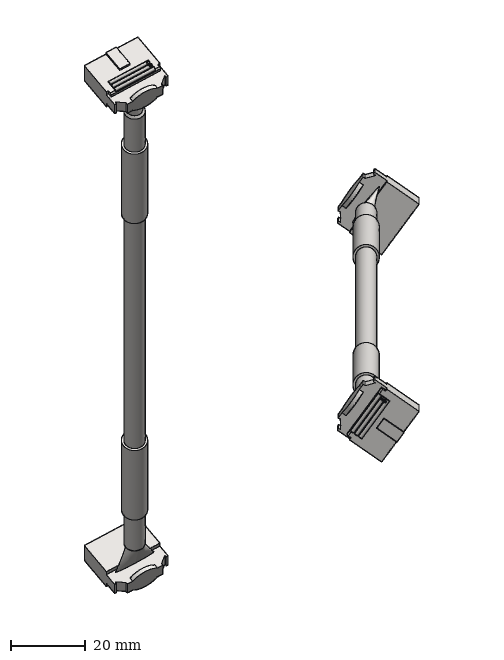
import cadquery as cq


CABLE_DIAMETER = 5.8
SLEEVE_DIAMETER = 7.0
TIP_CHAMFER = 0.7
SLEEVE_START = 50.3
SLEEVE_END = 81.0
TIP_END = 96.4

FAN_WIDTH = 12.5
FAN_THICKNESS = 0.9

OVERALL_LENGTH = 221.5
CONNECTOR_DEPTH = 16.5
HOUSING_FRONT = -11.3
HOUSING_DEPTH = 10.6
HOUSING_WIDTH = 17.3
HOUSING_HEIGHT = 6.6
HOUSING_CENTER_Z = 106.3
HOUSING_TOP = HOUSING_CENTER_Z + HOUSING_HEIGHT / 2
HOUSING_BOTTOM = HOUSING_CENTER_Z - HOUSING_HEIGHT / 2
HOUSING_BACK = HOUSING_FRONT + HOUSING_DEPTH
CONNECTOR_BACK = HOUSING_FRONT + CONNECTOR_DEPTH

KEY_LENGTH = 6.6
KEY_WIDTH = 3.3
KEY_HEIGHT = 0.7

SOCKET_COLUMNS = 5
SOCKET_ROWS = 2
SOCKET_ROW_SPAN = 10.2
SOCKET_PITCH = SOCKET_ROW_SPAN / (SOCKET_COLUMNS - 1)
SOCKET_SIZE = 1.5
SOCKET_DEPTH = 4.5

TAIL_HEIGHT = 4.0
TAIL_BOTTOM = HOUSING_CENTER_Z - TAIL_HEIGHT / 2
TAIL_TOP = HOUSING_CENTER_Z + TAIL_HEIGHT / 2
EAR_END = HOUSING_FRONT + 14.6
EAR_THICKNESS = 0.7
CAP_WIDTH = HOUSING_WIDTH - 2 * EAR_THICKNESS
CAP_TAPER_START = HOUSING_FRONT + 14.0
CAP_TAPER_END = HOUSING_FRONT + 15.7
CAP_END_WIDTH = 11.5
SHOULDER_LENGTH = 1.3
SHOULDER_CHAMFER = 0.5
DISC_THICKNESS = 1.3
DISC_WIDTH = 8.0

RIB_COUNT = 3
RIB_PITCH = 1.3
RIB_RADIUS = 0.55
RIB_LENGTH = 12.8
MARK_LENGTH = 1.8
MARK_WIDTH = 0.5
MARK_Y = 5.8


def block(x_start, x_end, width, z_start, z_end, y_center=0):
    """Box between two X and two Z levels, with a width centred at y_center."""
    return (
        cq.Workplane("XY", origin=((x_start + x_end) / 2, y_center, z_start))
        .rect(x_end - x_start, width)
        .extrude(z_end - z_start)
    )


def rod(diameter, z_start, z_end):
    """Cylinder on the cable axis."""
    return cq.Workplane("XY", origin=(0, 0, z_start)).circle(diameter / 2).extrude(z_end - z_start)


def cable():
    """Cable with chamfered ends, carrying one sleeve on each side of the middle."""
    body = rod(CABLE_DIAMETER, -TIP_END, TIP_END).faces("<Z or >Z").chamfer(TIP_CHAMFER)
    upper_sleeve = rod(SLEEVE_DIAMETER, SLEEVE_START, SLEEVE_END)
    lower_sleeve = rod(SLEEVE_DIAMETER, -SLEEVE_END, -SLEEVE_START)
    return body.union(upper_sleeve).union(lower_sleeve)


def fan():
    """Round at the cable, flattening to a thin oval where it enters the cap."""
    return (
        cq.Workplane("XY", origin=(0, 0, TIP_END))
        .circle(CABLE_DIAMETER / 2 - TIP_CHAMFER)
        .workplane(offset=TAIL_BOTTOM - TIP_END)
        .ellipse(FAN_THICKNESS / 2, FAN_WIDTH / 2)
        .loft()
    )


def housing():
    """Socket block with its polarizing key and two rows of contact sockets."""
    body = block(HOUSING_FRONT, HOUSING_BACK, HOUSING_WIDTH, HOUSING_BOTTOM, HOUSING_TOP)
    key = block(HOUSING_FRONT, HOUSING_FRONT + KEY_LENGTH, KEY_WIDTH, HOUSING_TOP, HOUSING_TOP + KEY_HEIGHT)
    sockets = (
        cq.Workplane("YZ", origin=(HOUSING_FRONT, 0, HOUSING_CENTER_Z))
        .rarray(SOCKET_PITCH, SOCKET_PITCH, SOCKET_COLUMNS, SOCKET_ROWS)
        .rect(SOCKET_SIZE, SOCKET_SIZE)
        .extrude(SOCKET_DEPTH)
    )
    return body.union(key).cut(sockets)


def cap():
    """Narrower back part that clamps the cable."""
    tapered_plate = (
        cq.Workplane("XY", origin=(0, 0, TAIL_BOTTOM))
        .moveTo(HOUSING_BACK, -CAP_WIDTH / 2)
        .lineTo(CAP_TAPER_START, -CAP_WIDTH / 2)
        .lineTo(CAP_TAPER_END, -CAP_END_WIDTH / 2)
        .lineTo(CONNECTOR_BACK, -CAP_END_WIDTH / 2)
        .lineTo(CONNECTOR_BACK, CAP_END_WIDTH / 2)
        .lineTo(CAP_TAPER_END, CAP_END_WIDTH / 2)
        .lineTo(CAP_TAPER_START, CAP_WIDTH / 2)
        .lineTo(HOUSING_BACK, CAP_WIDTH / 2)
        .close()
        .extrude(TAIL_HEIGHT)
    )
    shoulder = block(HOUSING_BACK, HOUSING_BACK + SHOULDER_LENGTH, CAP_WIDTH, TAIL_BOTTOM, HOUSING_TOP)
    shoulder = shoulder.edges(">X and >Z").chamfer(SHOULDER_CHAMFER)
    body = tapered_plate.union(shoulder)
    for side in (-1, 1):
        ear_y = side * (HOUSING_WIDTH - EAR_THICKNESS) / 2
        body = body.union(block(HOUSING_BACK, EAR_END, EAR_THICKNESS, TAIL_BOTTOM, TAIL_TOP, ear_y))

    disc = (
        cq.Workplane("YZ", origin=(CONNECTOR_BACK - DISC_THICKNESS, 0, HOUSING_CENTER_Z))
        .moveTo(-DISC_WIDTH / 2, -TAIL_HEIGHT / 2)
        .threePointArc((0, -HOUSING_HEIGHT / 2), (DISC_WIDTH / 2, -TAIL_HEIGHT / 2))
        .lineTo(DISC_WIDTH / 2, TAIL_HEIGHT / 2)
        .threePointArc((0, HOUSING_HEIGHT / 2), (-DISC_WIDTH / 2, TAIL_HEIGHT / 2))
        .close()
        .extrude(DISC_THICKNESS)
    )
    return body.union(disc)


def grip_ribs():
    """Round ribs sunk halfway into the top, the last one on the shoulder."""
    last_rib = HOUSING_BACK + SHOULDER_LENGTH / 2
    rib_places = [(last_rib - number * RIB_PITCH, 0) for number in range(RIB_COUNT)]
    return (
        cq.Workplane("XZ", origin=(0, RIB_LENGTH / 2, HOUSING_TOP))
        .pushPoints(rib_places)
        .circle(RIB_RADIUS)
        .extrude(RIB_LENGTH)
    )


def pin_one_mark():
    """Small bar near the +Y end of the ribs, the highest point of the connector."""
    mark_start = HOUSING_BACK - MARK_LENGTH
    return block(mark_start, HOUSING_BACK, MARK_WIDTH, HOUSING_TOP, OVERALL_LENGTH / 2, MARK_Y)


def connector():
    """Complete upper end: the connector and the fan leading into it."""
    return fan().union(housing()).union(cap()).union(grip_ribs()).union(pin_one_mark())


upper_end = connector()
result = cable().union(upper_end).union(upper_end.mirror("XY"))